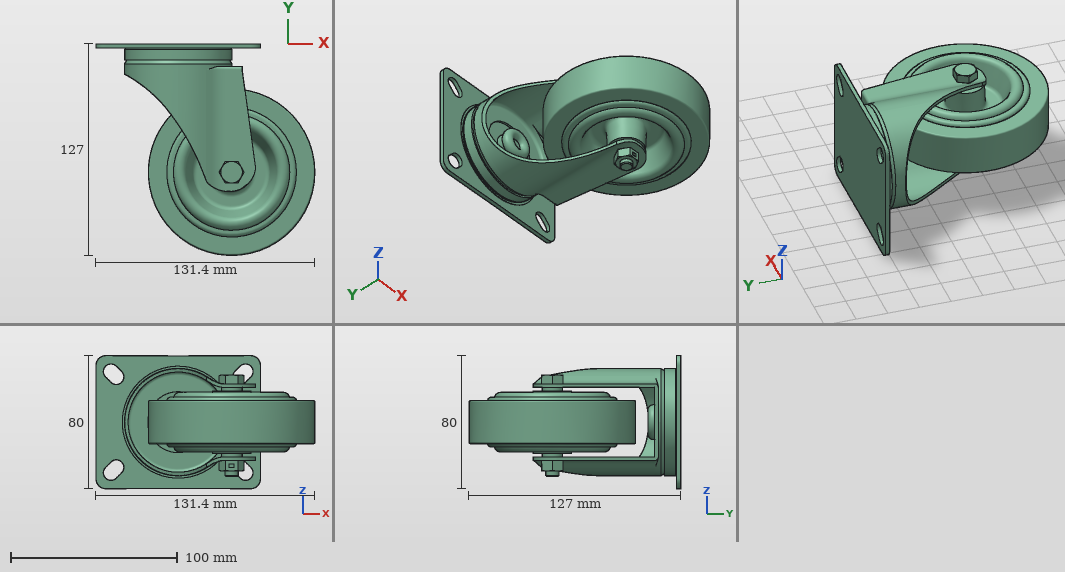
import cadquery as cq
import math


PLATE_LENGTH = 98.75
PLATE_WIDTH = 80.05
PLATE_WAIST = 79.6
PLATE_THICKNESS = 2.6
PLATE_CORNER_RADIUS = 6.0
SLOT_SPACING_X = 77.5
SLOT_SPACING_Z = 57.5
SLOT_WIDTH = 9.0
SLOT_LENGTH = 13.5
SLOT_ANGLE = 45.0

RING_RADIUS = 32.25
RING_BOTTOM_DEPTH = 9.8
NECK_RADIUS = 31.9
NECK_BOTTOM_DEPTH = 3.3
RELIEF_RADIUS = 33.6
RELIEF_DEPTH = 0.3
RIVET_RADIUS = 9.4
RIVET_LIP_RADIUS = 3.5
RIVET_LIP_CENTER_RADIUS = 7.0
RIVET_END_DEPTH = 16.3

AXLE_X = 32.0
AXLE_DEPTH = 77.0
TREAD_RADIUS = 50.0
TREAD_HALF_WIDTH = 13.0
TREAD_EDGE_RADIUS = 1.0
STEP_RADIUS = 38.9
STEP_HALF_WIDTH = 15.0
STEP_EDGE_RADIUS = 2.2
RIM_BEAD_RADIUS = 3.9
RIM_BEAD_CENTER_RADIUS = 31.0
RIM_HALF_WIDTH = 17.95
DISH_WALL_ANGLE = 20.6
DISH_FILLET = 3.0
WEB_HALF_WIDTH = 2.2
HUB_RADIUS = 11.5
HUB_BASE_RADIUS = 12.1
HUB_FILLET = 3.0
HUB_HALF_WIDTH = 18.8
SPACER_RADIUS = 6.1

FORK_THICKNESS = 2.2
FORK_RADIUS = RING_RADIUS
CHEEK_OUTER_Z = 23.0
CHEEK_BEND_RADIUS = 14.0
CHEEK_BEND_ANGLE = 31.6
CROWN_DEPTH = 13.5
CROWN_EDGE_RADIUS = 2.1
SEAT_TOP_RADIUS = 31.0
SEAT_FLARE_DEPTH = 12.0
SEAT_FLOOR_RADIUS = 28.1
SEAT_FLOOR_DEPTH = 11.1
SEAT_HOLE_RADIUS = 18.3
FRONT_TOP_X = 38.4
FRONT_BOTTOM_X = 46.4
FRONT_BOTTOM_DEPTH = 74.5
TIP_DEPTH = 88.5
ARCH_BACK_DEPTH = 18.2
TIP_RIGHT = (41.9, -84.0)
TIP_LEFT = (23.5, -87.3)
ARCH_BOTTOM = (17.0, -82.8)
ARCH_LOWER_MIDDLE = (8.6, -63.0)
ARCH_MIDDLE = (-3.7, -43.3)
ARCH_UPPER_MIDDLE = (-14.9, -30.6)

BOLT_RADIUS = 4.0
HEX_ACROSS_FLATS = 13.0
HEX_CHAMFER = 1.0
HEAD_HEIGHT = 5.3
NUT_HEIGHT = 6.3
BOLT_END_Z = -32.5
BOLT_END_CHAMFER = 0.6
NUT_MARK_WIDTH = 3.0
NUT_MARK_HEIGHT = 2.0
NUT_MARK_DEPTH = 0.3

CHEEK_INNER_Z = CHEEK_OUTER_Z - FORK_THICKNESS


def at_depth(depth):
    """Workplane parallel to the plate, extruding away from it."""
    return cq.Workplane("XZ", origin=(0, -depth, 0))


def disc(radius, start_depth, end_depth):
    return at_depth(start_depth).circle(radius).extrude(end_depth - start_depth)


def make_plate():
    half_length = PLATE_LENGTH / 2
    half_width = PLATE_WIDTH / 2
    half_waist = PLATE_WAIST / 2
    plate = (
        at_depth(0)
        .moveTo(-half_length, -half_width)
        .lineTo(0, -half_waist)
        .lineTo(half_length, -half_width)
        .lineTo(half_length, half_width)
        .lineTo(0, half_waist)
        .lineTo(-half_length, half_width)
        .close()
        .extrude(PLATE_THICKNESS)
    )
    plate = plate.faces("<X or >X").edges("|Y").fillet(PLATE_CORNER_RADIUS)
    for side_x in (-1, 1):
        for side_z in (-1, 1):
            slot = (
                at_depth(0)
                .center(side_x * SLOT_SPACING_X / 2, side_z * SLOT_SPACING_Z / 2)
                .slot2D(SLOT_LENGTH, SLOT_WIDTH, side_x * side_z * SLOT_ANGLE)
                .extrude(PLATE_THICKNESS)
            )
            plate = plate.cut(slot)
    relief = disc(RELIEF_RADIUS, PLATE_THICKNESS - RELIEF_DEPTH, PLATE_THICKNESS)
    neck = disc(NECK_RADIUS, PLATE_THICKNESS - RELIEF_DEPTH, NECK_BOTTOM_DEPTH)
    ring = disc(RING_RADIUS, NECK_BOTTOM_DEPTH, RING_BOTTOM_DEPTH)
    rivet = disc(RIVET_RADIUS, RING_BOTTOM_DEPTH, RIVET_END_DEPTH)
    lip = cq.Workplane(
        cq.Solid.makeTorus(
            RIVET_LIP_CENTER_RADIUS,
            RIVET_LIP_RADIUS,
            cq.Vector(0, -RIVET_END_DEPTH, 0),
            cq.Vector(0, 1, 0),
        )
    )
    return plate.cut(relief).union(neck).union(ring).union(rivet).union(lip)


def axle_disc(radius, half_width):
    """Disc about Z at the origin, centered on the middle of the wheel."""
    return cq.Workplane("XY", origin=(0, 0, -half_width)).circle(radius).extrude(2 * half_width)


def make_wheel_center_half():
    """Upper half of everything inside the tread, revolved about Z at the origin."""
    angle = math.radians(DISH_WALL_ANGLE)
    bead_center_z = RIM_HALF_WIDTH - RIM_BEAD_RADIUS
    bead_outer_radius = RIM_BEAD_CENTER_RADIUS + RIM_BEAD_RADIUS
    wall_top_radius = RIM_BEAD_CENTER_RADIUS - RIM_BEAD_RADIUS * math.cos(angle)
    wall_top_z = bead_center_z + RIM_BEAD_RADIUS * math.sin(angle)
    wall_foot_z = WEB_HALF_WIDTH + DISH_FILLET * (1 - math.sin(angle))
    wall_foot_radius = wall_top_radius - (wall_top_z - wall_foot_z) * math.tan(angle)
    floor_radius = wall_foot_radius - DISH_FILLET * math.cos(angle)
    return (
        cq.Workplane("XZ")
        .moveTo(0, 0)
        .lineTo(STEP_RADIUS, 0)
        .lineTo(STEP_RADIUS, STEP_HALF_WIDTH - STEP_EDGE_RADIUS)
        .radiusArc((STEP_RADIUS - STEP_EDGE_RADIUS, STEP_HALF_WIDTH), -STEP_EDGE_RADIUS)
        .lineTo(bead_outer_radius, STEP_HALF_WIDTH)
        .lineTo(bead_outer_radius, bead_center_z)
        .threePointArc((RIM_BEAD_CENTER_RADIUS, RIM_HALF_WIDTH), (wall_top_radius, wall_top_z))
        .lineTo(wall_foot_radius, wall_foot_z)
        .radiusArc((floor_radius, WEB_HALF_WIDTH), DISH_FILLET)
        .lineTo(HUB_BASE_RADIUS + HUB_FILLET, WEB_HALF_WIDTH)
        .radiusArc((HUB_BASE_RADIUS, WEB_HALF_WIDTH + HUB_FILLET), HUB_FILLET)
        .lineTo(HUB_RADIUS, HUB_HALF_WIDTH)
        .lineTo(SPACER_RADIUS, HUB_HALF_WIDTH)
        .lineTo(SPACER_RADIUS, CHEEK_INNER_Z)
        .lineTo(0, CHEEK_INNER_Z)
        .close()
        .revolve(360, (0, 0), (0, 1))
    )


def make_wheel():
    tread = axle_disc(TREAD_RADIUS, TREAD_HALF_WIDTH).edges().fillet(TREAD_EDGE_RADIUS)
    tread_bore = axle_disc(STEP_RADIUS, TREAD_HALF_WIDTH)
    axle_bore = axle_disc(BOLT_RADIUS, CHEEK_INNER_Z)
    center_half = make_wheel_center_half()
    wheel = tread.cut(tread_bore).union(center_half).union(center_half.mirror("XY")).cut(axle_bore)
    return wheel.translate((AXLE_X, -AXLE_DEPTH, 0))


def fork_section(inset, start_depth):
    """Fork cross-section parallel to the plate, inset from the outer surface and closed at +X."""
    angle = math.radians(CHEEK_BEND_ANGLE)
    back_radius = FORK_RADIUS - inset
    bend_radius = CHEEK_BEND_RADIUS + inset
    cheek_z = CHEEK_OUTER_Z - inset
    arc_end_x = back_radius * math.sin(angle)
    arc_end_z = back_radius * math.cos(angle)
    bend_start_z = cheek_z + bend_radius * (1 - math.cos(angle))
    bend_start_x = arc_end_x + (arc_end_z - bend_start_z) / math.tan(angle)
    bend_end_x = bend_start_x + bend_radius * math.sin(angle)
    return (
        at_depth(start_depth)
        .moveTo(FRONT_BOTTOM_X * 2, cheek_z)
        .lineTo(bend_end_x, cheek_z)
        .radiusArc((bend_start_x, bend_start_z), bend_radius)
        .lineTo(arc_end_x, arc_end_z)
        .threePointArc((-back_radius, 0), (arc_end_x, -arc_end_z))
        .lineTo(bend_start_x, -bend_start_z)
        .radiusArc((bend_end_x, -cheek_z), bend_radius)
        .lineTo(FRONT_BOTTOM_X * 2, -cheek_z)
        .close()
        .extrude(TIP_DEPTH - start_depth)
    )


def fork_side_outline():
    """Side outline of the fork, extruded along Z through both cheeks."""
    return (
        cq.Workplane("XY")
        .moveTo(-FORK_RADIUS, -RING_BOTTOM_DEPTH)
        .lineTo(FRONT_TOP_X, -RING_BOTTOM_DEPTH)
        .lineTo(FRONT_TOP_X, -CROWN_DEPTH - CROWN_EDGE_RADIUS)
        .lineTo(FRONT_BOTTOM_X, -FRONT_BOTTOM_DEPTH)
        .threePointArc(TIP_RIGHT, (AXLE_X, -TIP_DEPTH))
        .threePointArc(TIP_LEFT, ARCH_BOTTOM)
        .threePointArc(ARCH_LOWER_MIDDLE, ARCH_MIDDLE)
        .threePointArc(ARCH_UPPER_MIDDLE, (-FORK_RADIUS, -ARCH_BACK_DEPTH))
        .close()
        .extrude(FORK_RADIUS, both=True)
    )


def make_fork():
    crown_inner_depth = CROWN_DEPTH + FORK_THICKNESS
    shell = fork_section(0, CROWN_DEPTH)
    shell = shell.faces(">Y").edges("not(>X)").fillet(CROWN_EDGE_RADIUS)
    seat = (
        cq.Workplane("XY")
        .moveTo(0, -RING_BOTTOM_DEPTH)
        .lineTo(SEAT_TOP_RADIUS, -RING_BOTTOM_DEPTH)
        .lineTo(FORK_RADIUS, -SEAT_FLARE_DEPTH)
        .lineTo(FORK_RADIUS, -crown_inner_depth)
        .lineTo(0, -crown_inner_depth)
        .close()
        .revolve(360, (0, 0), (0, 1))
    )
    wall_inner_radius = FORK_RADIUS - FORK_THICKNESS
    seat_fillet = wall_inner_radius - SEAT_FLOOR_RADIUS
    seat_hollow = disc(wall_inner_radius, SEAT_FLOOR_DEPTH, crown_inner_depth)
    seat_hollow = seat_hollow.faces(">Y").edges().fillet(seat_fillet)
    seat_hole = disc(SEAT_HOLE_RADIUS, RING_BOTTOM_DEPTH, crown_inner_depth)
    fork = shell.union(seat)
    fork = fork.cut(fork_section(FORK_THICKNESS, crown_inner_depth))
    fork = fork.cut(seat_hollow).cut(seat_hole)
    return fork.intersect(fork_side_outline())


def hexagon(start_z, height, chamfer_face):
    """Hexagonal prism about the axle with corners on the X direction and one face's corners turned off."""
    corner_diameter = HEX_ACROSS_FLATS / math.cos(math.pi / 6)
    prism = cq.Workplane("XY", origin=(0, 0, start_z)).polygon(6, corner_diameter).extrude(height)
    turned = cq.Workplane("XY", origin=(0, 0, start_z)).circle(corner_diameter / 2).extrude(height)
    turned = turned.faces(chamfer_face).chamfer(HEX_CHAMFER / 2, HEX_CHAMFER)
    return prism.intersect(turned)


def make_bolt():
    """Axle bolt with its nut."""
    head = hexagon(CHEEK_OUTER_Z, HEAD_HEIGHT, ">Z")
    nut = hexagon(-CHEEK_OUTER_Z - NUT_HEIGHT, NUT_HEIGHT, "<Z")
    mark = cq.Workplane("XY").box(NUT_MARK_WIDTH, NUT_MARK_DEPTH * 2, NUT_MARK_HEIGHT)
    mark = mark.translate((0, -HEX_ACROSS_FLATS / 2, -CHEEK_OUTER_Z - NUT_HEIGHT / 2))
    shank = (
        cq.Workplane("XY", origin=(0, 0, BOLT_END_Z))
        .circle(BOLT_RADIUS)
        .extrude(CHEEK_OUTER_Z - BOLT_END_Z)
        .faces("<Z")
        .chamfer(BOLT_END_CHAMFER)
    )
    bolt = shank.union(head).union(nut).cut(mark)
    return bolt.translate((AXLE_X, -AXLE_DEPTH, 0))


plate = make_plate()
wheel = make_wheel()
bolt = make_bolt()
fork = make_fork().cut(bolt)

result = cq.Compound.makeCompound([plate.val(), fork.val(), wheel.val(), bolt.val()])